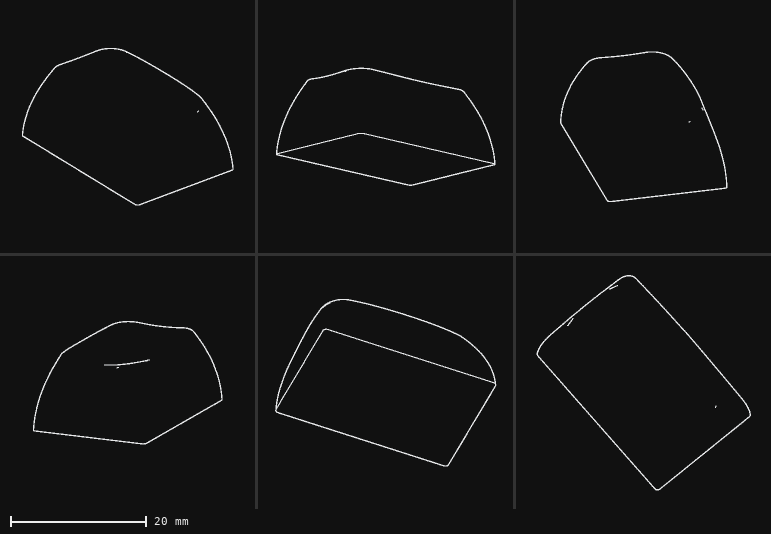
import cadquery as cq
import math

length = 27.75
width = 18.27
base_corner = 0.53

top_height = 11.1
top_half_length = 12.0
top_half_width = 7.45
top_corner = (11.27, 5.9)
top_corner_radius = 4.0

section_levels = (0.0, 0.3, 0.6, 0.9, 1.2)
wall_power = 2.3
corner_lean = 0.7

dish_floor = 9.15
dish_radius_across = 18.88
dish_radius_along = 47.2
dish_half_width = 11.1
dish_sweep = 50.0

rim_fillet = 0.55


def leaned(base, top, level):
    """Wall law: vertical at the base, leaning in as the height grows."""
    return base + (top - base) * level**wall_power


def corner_radius(level):
    """The corner radius grows with the height, partly straight and partly curved."""
    growth = corner_lean * level + (1 - corner_lean) * level**2
    return base_corner + (top_corner_radius - base_corner) * growth


def make_section(level):
    """One horizontal outline: a rectangle with bowed sides and rounded corners."""
    crown_x = leaned(length / 2, top_half_length, level)
    crown_y = leaned(width / 2, top_half_width, level)
    x = leaned(length / 2, top_corner[0], level)
    y = leaned(width / 2, top_corner[1], level)
    corners = ((-x, -y), (x, -y), (x, y), (-x, y))
    crowns = ((0, -crown_y), (crown_x, 0), (0, crown_y), (-crown_x, 0))

    outline = cq.Workplane("XY", origin=(0, 0, level * top_height)).moveTo(*corners[0])
    for crown, end in zip(crowns, corners[1:] + corners[:1]):
        if level == 0:
            outline = outline.lineTo(*end)
        else:
            outline = outline.threePointArc(crown, end)
    sharp = outline.wire().val()
    return sharp.fillet2D(corner_radius(level), sharp.Vertices())


def make_body():
    return cq.Workplane(cq.Solid.makeLoft([make_section(level) for level in section_levels]))


def make_dish():
    edge_rise = dish_radius_across - math.sqrt(dish_radius_across**2 - dish_half_width**2)
    edge_height = dish_floor + edge_rise
    axis_height = dish_floor + dish_radius_along
    profile = (
        cq.Workplane("YZ")
        .moveTo(-dish_half_width, edge_height)
        .threePointArc((0, dish_floor), (dish_half_width, edge_height))
        .lineTo(dish_half_width, axis_height)
        .lineTo(-dish_half_width, axis_height)
        .close()
    )
    swung = profile.revolve(dish_sweep, (0, axis_height), (1, axis_height))
    return swung.rotate((0, 0, axis_height), (0, 1, axis_height), -dish_sweep / 2)


dished = make_body().cut(make_dish())
result = dished.faces("%TORUS").edges().fillet(rim_fillet)